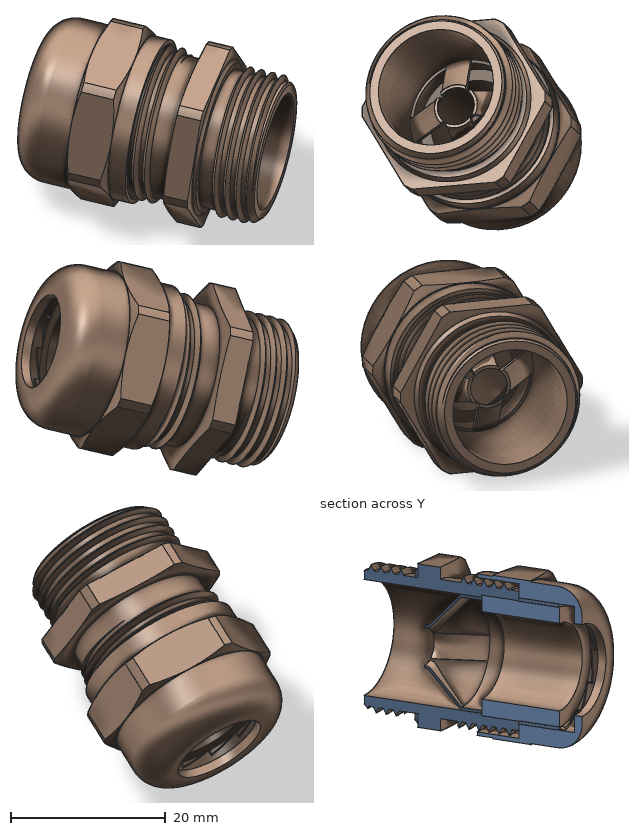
import cadquery as cq
import math

TOTAL_LENGTH = 32.54

HEX_FLATS = 22.0
HEX_CORNER_DIAMETER = 24.68

CAP_LENGTH = 15.68
CAP_RADIUS = 21.77 / 2
CAP_FACE_RADIUS = 14.45 / 2
CAP_HEX_START = 7.68
CAP_HEX_END = 13.31
CAP_HEX_CHAMFER = 0.62
CAP_OPENING_RADIUS = 12.3 / 2
CAP_RIM_THICKNESS = 1.2
CAP_CAVITY_RADIUS = 16.89 / 2
CAP_BORE_RADIUS = 20.71 / 2

BODY_START = 9.5
CAP_SIDE_RADIUS = 18.78 / 2
ENTRY_RADIUS = 18.33 / 2
BODY_BORE_RADIUS = 15.52 / 2
BODY_HEX_START = 21.12
BODY_HEX_END = 24.54
BODY_HEX_CHAMFER = 0.2
END_CHAMFER_RADIUS = 8.91

THREAD_PITCH = 1.5
THREAD_HALF_ANGLE = math.radians(30)
THREAD_ROOT_OVERLAP = 0.1
CAP_THREAD_HEIGHT = 0.83
CAP_THREAD_CREST = 16.15
CAP_THREAD_START = 10.5
CAP_THREAD_END = 18.58
ENTRY_THREAD_HEIGHT = 0.745
ENTRY_THREAD_CREST = 27.0
ENTRY_THREAD_START = 26.52

GASKET_THICKNESS = 0.45
GASKET_RADIUS = 10.45
GASKET_END_RADIUS = GASKET_RADIUS - GASKET_THICKNESS

SEAL_START = 3.36
SEAL_END = 15.0
SEAL_RADIUS = 16.12 / 2
SEAL_BORE_RADIUS = 11.72 / 2

CAGE_START = 2.7
CAGE_TOOTH_DEPTH = 0.8
CAGE_TOOTH_COUNT = 12
CAGE_TOOTH_TURN = -17.0

SPRING_SHEET = 0.4
SPRING_RING_LENGTH = 3.0
SPRING_FINGER_COUNT = 4
SPRING_FINGER_WIDTH = 3.34
SPRING_FINGER_TILT = 9.3
SPRING_LIP_RADIUS = 2.5
SPRING_BEND_RADIUS = 1.6


def cylinder(radius, start, end):
    return cq.Workplane("YZ", origin=(start, 0, 0)).circle(radius).extrude(end - start)


def revolve_about_x(profile):
    return profile.close().revolve(360, (0, 0, 0), (1, 0, 0))


def hexagon(start, end, start_chamfer, end_chamfer):
    """Hexagon with flats on +Z and -Z, turned round at its corners and coned at its ends."""
    flat_radius = HEX_FLATS / 2
    corner_radius = HEX_CORNER_DIAMETER / 2
    flats_turn = 30
    prism = (
        cq.Workplane("YZ", origin=(start, 0, 0))
        .polygon(6, HEX_FLATS, circumscribed=True)
        .extrude(end - start)
        .rotate((0, 0, 0), (1, 0, 0), flats_turn)
    )
    outline = [(start, 0)]
    if start_chamfer:
        outline.append((start, flat_radius))
    outline.append((start + start_chamfer, corner_radius))
    outline.append((end - end_chamfer, corner_radius))
    if end_chamfer:
        outline.append((end, flat_radius))
    outline.append((end, 0))
    return prism.intersect(revolve_about_x(cq.Workplane("XY").polyline(outline)))


def thread_ridge(root_radius, height, crest, start, end):
    """Helical ridge covering start to end, squared off at both planes."""
    turns_before = math.ceil((crest - start) / THREAD_PITCH) + 1
    turns_after = math.ceil((end - crest) / THREAD_PITCH) + 1
    first = crest - turns_before * THREAD_PITCH
    length = (turns_before + turns_after) * THREAD_PITCH
    base_radius = root_radius - THREAD_ROOT_OVERLAP
    half_base = (height + THREAD_ROOT_OVERLAP) * math.tan(THREAD_HALF_ANGLE)
    helix = cq.Wire.makeHelix(THREAD_PITCH, length, base_radius)
    ridge = (
        cq.Workplane("XZ")
        .polyline([(base_radius, -half_base), (root_radius + height, 0), (base_radius, half_base)])
        .close()
        .sweep(cq.Workplane(helix), isFrenet=True)
    )
    ridge = ridge.rotate((0, 0, 0), (0, 1, 0), 90).rotate((0, 0, 0), (1, 0, 0), 180)
    ridge = ridge.translate((first, 0, 0))
    return ridge.intersect(cylinder(CAP_RADIUS, start, end))


def make_cap():
    dome_radius = CAP_RADIUS - CAP_FACE_RADIUS
    shell = revolve_about_x(
        cq.Workplane("XY")
        .lineTo(0, CAP_FACE_RADIUS)
        .radiusArc((dome_radius, CAP_RADIUS), dome_radius)
        .lineTo(CAP_LENGTH, CAP_RADIUS)
        .lineTo(CAP_LENGTH, 0)
    )
    shell = shell.union(hexagon(CAP_HEX_START, CAP_HEX_END, CAP_HEX_CHAMFER, CAP_HEX_CHAMFER))
    shell = shell.cut(cylinder(CAP_OPENING_RADIUS, 0, CAP_LENGTH))
    shell = shell.cut(cylinder(CAP_CAVITY_RADIUS, CAP_RIM_THICKNESS, CAP_LENGTH))
    return shell.cut(cylinder(CAP_BORE_RADIUS, BODY_START, CAP_LENGTH))


def make_body():
    blank = cylinder(CAP_SIDE_RADIUS, BODY_START, BODY_HEX_START)
    blank = blank.union(hexagon(BODY_HEX_START, BODY_HEX_END, BODY_HEX_CHAMFER, 0))
    blank = blank.union(cylinder(ENTRY_RADIUS, BODY_HEX_END, TOTAL_LENGTH))
    blank = blank.union(
        thread_ridge(CAP_SIDE_RADIUS, CAP_THREAD_HEIGHT, CAP_THREAD_CREST, CAP_THREAD_START, CAP_THREAD_END)
    )
    blank = blank.union(
        thread_ridge(ENTRY_RADIUS, ENTRY_THREAD_HEIGHT, ENTRY_THREAD_CREST, ENTRY_THREAD_START, TOTAL_LENGTH)
    )
    chamfer_run = HEX_CORNER_DIAMETER / 2 - END_CHAMFER_RADIUS
    end_cone = revolve_about_x(
        cq.Workplane("XY")
        .moveTo(TOTAL_LENGTH, END_CHAMFER_RADIUS)
        .lineTo(TOTAL_LENGTH, END_CHAMFER_RADIUS + chamfer_run)
        .lineTo(TOTAL_LENGTH - chamfer_run, END_CHAMFER_RADIUS + chamfer_run)
    )
    blank = blank.cut(end_cone)
    blank = blank.cut(cylinder(SEAL_RADIUS, BODY_START, SEAL_END))
    return blank.cut(cylinder(BODY_BORE_RADIUS, SEAL_END, TOTAL_LENGTH))


def make_gasket():
    gasket_end = BODY_HEX_END + GASKET_THICKNESS
    return revolve_about_x(
        cq.Workplane("XY")
        .moveTo(BODY_HEX_END, ENTRY_RADIUS)
        .lineTo(BODY_HEX_END, GASKET_RADIUS)
        .lineTo(gasket_end, GASKET_END_RADIUS)
        .lineTo(gasket_end, ENTRY_RADIUS)
    )


def make_seal():
    seal = cylinder(SEAL_RADIUS, SEAL_START, SEAL_END)
    return seal.cut(cylinder(SEAL_BORE_RADIUS, SEAL_START, SEAL_END))


def make_cage():
    """Ring around the seal with ratchet-like teeth on its front edge."""
    cage = cylinder(CAP_CAVITY_RADIUS, CAGE_START, BODY_START)
    cage = cage.cut(cylinder(SEAL_RADIUS, CAGE_START, BODY_START))
    half_pitch = CAP_CAVITY_RADIUS * math.tan(math.pi / CAGE_TOOTH_COUNT)
    ramp = (
        cq.Workplane("XY")
        .polyline(
            [(CAGE_START, -half_pitch), (CAGE_START, half_pitch), (CAGE_START + CAGE_TOOTH_DEPTH, half_pitch)]
        )
        .close()
        .extrude(CAP_RADIUS)
    )
    for index in range(CAGE_TOOTH_COUNT):
        angle = CAGE_TOOTH_TURN + index * 360 / CAGE_TOOTH_COUNT
        cage = cage.cut(ramp.rotate((0, 0, 0), (1, 0, 0), angle))
    return cage


def make_contact_spring():
    """Ring with sprung fingers that slope inward at 45 degrees and bend into a short lip."""
    ring_inner = BODY_BORE_RADIUS - SPRING_SHEET
    ring_end = SEAL_END + SPRING_RING_LENGTH
    ring = cylinder(BODY_BORE_RADIUS, SEAL_END, ring_end).cut(cylinder(ring_inner, SEAL_END, ring_end))

    diagonal = math.sqrt(0.5)
    bend_rise = SPRING_BEND_RADIUS * (1 - diagonal)
    bend_run = SPRING_BEND_RADIUS * diagonal
    outer_bend_radius = SPRING_BEND_RADIUS - SPRING_SHEET
    bend_start_radius = SPRING_LIP_RADIUS + bend_rise
    bend_start = ring_end + ring_inner - bend_start_radius
    lip_end = bend_start + bend_run
    sheet_offset = SPRING_SHEET * diagonal
    sheet = revolve_about_x(
        cq.Workplane("XY")
        .moveTo(ring_end, ring_inner)
        .lineTo(bend_start, bend_start_radius)
        .radiusArc((lip_end, SPRING_LIP_RADIUS), -SPRING_BEND_RADIUS)
        .lineTo(lip_end, SPRING_LIP_RADIUS + SPRING_SHEET)
        .radiusArc((bend_start + sheet_offset, bend_start_radius + sheet_offset), outer_bend_radius)
        .lineTo(ring_end + 2 * sheet_offset - SPRING_SHEET, BODY_BORE_RADIUS)
        .lineTo(ring_end, BODY_BORE_RADIUS)
    )
    strip = cq.Workplane("XY").box(
        lip_end - ring_end, SPRING_FINGER_WIDTH, BODY_BORE_RADIUS, centered=(False, True, False)
    )
    strip = strip.translate((ring_end, 0, 0))
    for index in range(SPRING_FINGER_COUNT):
        angle = SPRING_FINGER_TILT + index * 360 / SPRING_FINGER_COUNT
        ring = ring.union(sheet.intersect(strip.rotate((0, 0, 0), (1, 0, 0), angle)))
    return ring


cap = make_cap()
body = make_body()
gasket = make_gasket()
seal = make_seal()
cage = make_cage()
contact_spring = make_contact_spring()

result = cq.Compound.makeCompound(
    [cap.val(), body.val(), gasket.val(), seal.val(), cage.val(), contact_spring.val()]
)